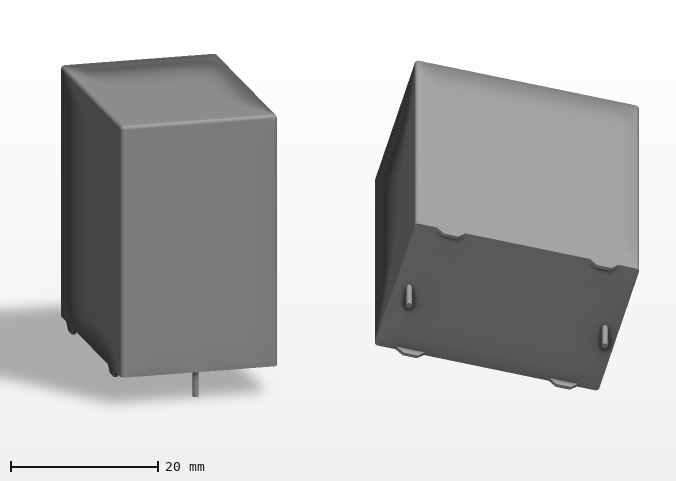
import cadquery as cq


case_length = 31.5
case_width = 22.0
case_height = 35.5
edge_radius = 0.5

foot_height = 1.0
foot_root_length = 4.0
foot_tip_length = foot_root_length - 2 * foot_height
foot_thickness = 0.5
foot_spacing = 21.5

lead_diameter = 0.8
lead_length = 4.0
lead_spacing = 27.5


def make_case():
    """Block rounded on its upright and top edges, sharp around the underside."""
    block = cq.Workplane("XY").box(case_length, case_width, case_height, centered=(True, True, False))
    return block.edges("|Z or >Z").fillet(edge_radius)


def make_foot(center_x, start_y):
    """Trapezoidal foot that starts at start_y and runs in +Y for its thickness."""
    root_half = foot_root_length / 2
    tip_half = foot_tip_length / 2
    outline = [
        (center_x - root_half, 0),
        (center_x - tip_half, -foot_height),
        (center_x + tip_half, -foot_height),
        (center_x + root_half, 0),
    ]
    plane = cq.Workplane("XZ", origin=(0, start_y, 0))
    return plane.polyline(outline).close().extrude(-foot_thickness)


def make_lead(center_x):
    """Round wire hanging below the underside of the case."""
    return cq.Workplane("XY").center(center_x, 0).circle(lead_diameter / 2).extrude(-lead_length)


result = make_case()
for side_x in (-1, 1):
    foot_x = side_x * foot_spacing / 2
    for start_y in (-case_width / 2, case_width / 2 - foot_thickness):
        result = result.union(make_foot(foot_x, start_y))
    result = result.union(make_lead(side_x * lead_spacing / 2))